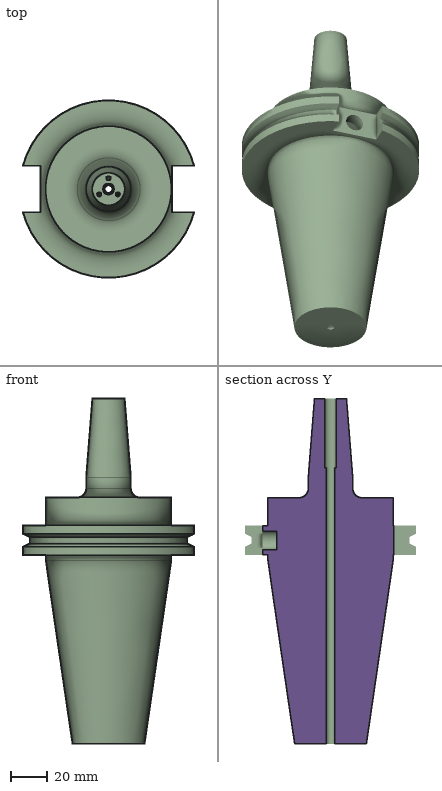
import cadquery as cq
import math

total_height = 191.6
gauge_z = 101.7
flange_bottom_z = 104.6
flange_top_z = 121.0
flange_mid_z = (flange_bottom_z + flange_top_z) / 2
collar_top_z = 136.6
nose_cone_bottom_z = 148.0

collar_radius = 34.9
taper_on_diameter = 7 / 24
shank_end_radius = collar_radius - gauge_z * taper_on_diameter / 2

flange_radius = 49.2
groove_floor_radius = 45.6
groove_floor_width = 3.6
groove_mouth_width = 7.3

slot_width = 25.7
left_slot_floor = 37.7
right_slot_floor = 35.3
dimple_diameter = 10.0
dimple_depth = 7.7

neck_radius = 12.5
neck_fillet_radius = 5.0
nose_tip_radius = 9.0

tool_bore_diameter = 6.1
tool_bore_depth = 38.3
through_bore_diameter = 4.2
coolant_hole_count = 3
coolant_hole_diameter = 2.3
coolant_hole_depth = 38.3
coolant_circle_radius = 6.0


def make_body():
    """Revolved shank, flange, collar and nose."""
    fillet_mid = neck_fillet_radius * (1 - math.sqrt(0.5))
    return (
        cq.Workplane("XZ")
        .lineTo(shank_end_radius, 0)
        .lineTo(collar_radius, gauge_z)
        .lineTo(collar_radius, flange_bottom_z)
        .lineTo(flange_radius, flange_bottom_z)
        .lineTo(flange_radius, flange_mid_z - groove_mouth_width / 2)
        .lineTo(groove_floor_radius, flange_mid_z - groove_floor_width / 2)
        .lineTo(groove_floor_radius, flange_mid_z + groove_floor_width / 2)
        .lineTo(flange_radius, flange_mid_z + groove_mouth_width / 2)
        .lineTo(flange_radius, flange_top_z)
        .lineTo(collar_radius, flange_top_z)
        .lineTo(collar_radius, collar_top_z)
        .lineTo(neck_radius + neck_fillet_radius, collar_top_z)
        .threePointArc(
            (neck_radius + fillet_mid, collar_top_z + fillet_mid),
            (neck_radius, collar_top_z + neck_fillet_radius),
        )
        .lineTo(neck_radius, nose_cone_bottom_z)
        .lineTo(nose_tip_radius, total_height)
        .lineTo(0, total_height)
        .close()
        .revolve(360, (0, 0, 0), (0, 1, 0))
    )


def make_slot(side, floor_distance):
    """Drive slot open to the outside; side is -1 for -X and +1 for +X."""
    slot_length = flange_radius
    return cq.Workplane("XY").box(
        slot_length, slot_width, flange_top_z - flange_bottom_z
    ).translate((side * (floor_distance + slot_length / 2), 0, flange_mid_z))


def make_dimple():
    """Flat-bottomed round hole in the floor of the -X slot."""
    return (
        cq.Workplane("YZ", origin=(-left_slot_floor, 0, flange_mid_z))
        .circle(dimple_diameter / 2)
        .extrude(dimple_depth)
    )


def hole_from_tip(diameter, depth):
    """Axial hole running down from the nose tip."""
    return (
        cq.Workplane("XY", origin=(0, 0, total_height))
        .circle(diameter / 2)
        .extrude(-depth)
    )


def make_coolant_hole():
    """Hole on the +Y side of the tip, leaning outward parallel to the nose cone."""
    tilt = math.degrees(
        math.atan((neck_radius - nose_tip_radius) / (total_height - nose_cone_bottom_z))
    )
    overrun = coolant_hole_diameter
    hole = hole_from_tip(coolant_hole_diameter, coolant_hole_depth + overrun)
    return (
        hole.translate((0, coolant_circle_radius, overrun))
        .rotate(
            (0, coolant_circle_radius, total_height),
            (1, coolant_circle_radius, total_height),
            tilt,
        )
    )


result = (
    make_body()
    .cut(make_slot(-1, left_slot_floor))
    .cut(make_slot(1, right_slot_floor))
    .cut(make_dimple())
    .cut(hole_from_tip(tool_bore_diameter, tool_bore_depth))
    .cut(hole_from_tip(through_bore_diameter, total_height))
)

coolant_hole = make_coolant_hole()
for index in range(coolant_hole_count):
    angle = index * 360 / coolant_hole_count
    result = result.cut(coolant_hole.rotate((0, 0, 0), (0, 0, 1), angle))